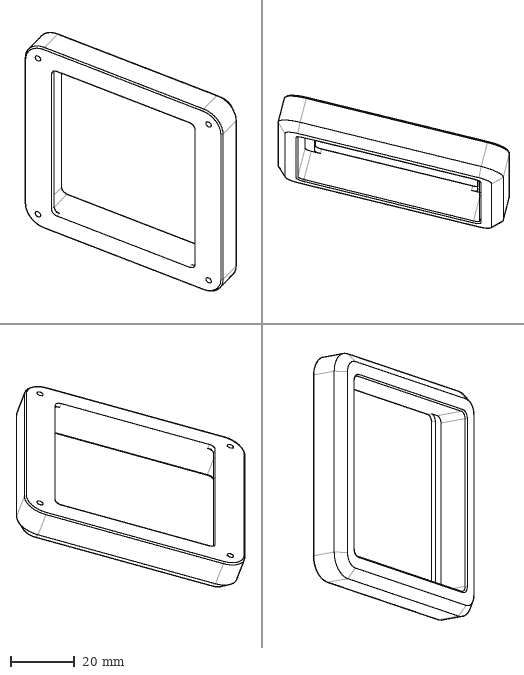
import cadquery as cq

side = 73.15
depth = 11.5
corner_radius = 7.2
front_chamfer = 0.5
back_chamfer = 3.0

window_height = 58.5
window_radius = 2.0
front_window_width = 53.0
side_lip_overhang = 3.0
side_lip_thickness = 1.5
rear_window_width = front_window_width + 2 * side_lip_overhang
rear_window_chamfer = 0.5

hole_diameter = 2.0
hole_spacing = 63.1
hole_depth = 7.3


def make_body():
    """Rounded square plate with its front and back rims chamfered."""
    body = (
        cq.Workplane("XZ")
        .rect(side, side)
        .extrude(-depth)
        .edges("|Y")
        .fillet(corner_radius)
    )
    body = body.faces("<Y").chamfer(front_chamfer)
    return body.faces(">Y").chamfer(back_chamfer)


def make_opening(width, y_start, y_end):
    """Rounded rectangular opening of the window height between two depths."""
    return (
        cq.Workplane("XZ", origin=(0, y_start, 0))
        .rect(width, window_height)
        .extrude(y_start - y_end)
        .edges("|Y")
        .fillet(window_radius)
    )


def make_screw_holes():
    """Four flat-bottomed holes starting at the front face."""
    return (
        cq.Workplane("XZ")
        .rect(hole_spacing, hole_spacing, forConstruction=True)
        .vertices()
        .circle(hole_diameter / 2)
        .extrude(-hole_depth)
    )


front_window = make_opening(front_window_width, 0, side_lip_thickness)
rear_window = make_opening(rear_window_width, side_lip_thickness, depth)

frame = make_body().cut(front_window).cut(rear_window)

window_rim = frame.faces(">Y").val().innerWires()[0]
frame = frame.newObject(window_rim.Edges()).chamfer(rear_window_chamfer)

result = frame.cut(make_screw_holes())